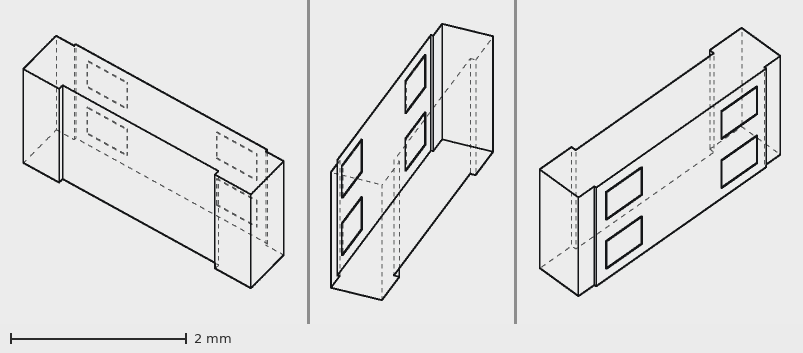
import cadquery as cq

length = 3.22
depth = 0.67
height = 1.6

terminal_length = 0.51
recess_depth = 0.068

step_length = 0.255
step_depth = 0.03

pad_thickness = 0.01
pad_length = 0.567
pad_height = 0.445
pad_spacing_x = 1.835
pad_spacing_z = 0.795

front_y = -depth / 2
back_y = depth / 2 - pad_thickness


def make_body():
    """Chip body with a recessed front and stepped back ends."""
    body = cq.Workplane("XY").box(length, back_y - front_y, height)
    body = body.translate((0, (front_y + back_y) / 2, 0))

    recess_length = length - 2 * terminal_length
    recess = cq.Workplane("XY").box(recess_length, recess_depth, height)
    body = body.cut(recess.translate((0, front_y + recess_depth / 2, 0)))

    for side in (-1, 1):
        step = cq.Workplane("XY").box(step_length, step_depth, height)
        step_x = side * (length - step_length) / 2
        body = body.cut(step.translate((step_x, back_y - step_depth / 2, 0)))
    return body


def add_back_pads(body):
    """Four rectangular pads standing just proud of the back face."""
    pads = (
        cq.Workplane("XZ", origin=(0, back_y, 0))
        .rarray(pad_spacing_x, pad_spacing_z, 2, 2)
        .rect(pad_length, pad_height)
        .extrude(-pad_thickness)
    )
    return body.union(pads)


result = add_back_pads(make_body())